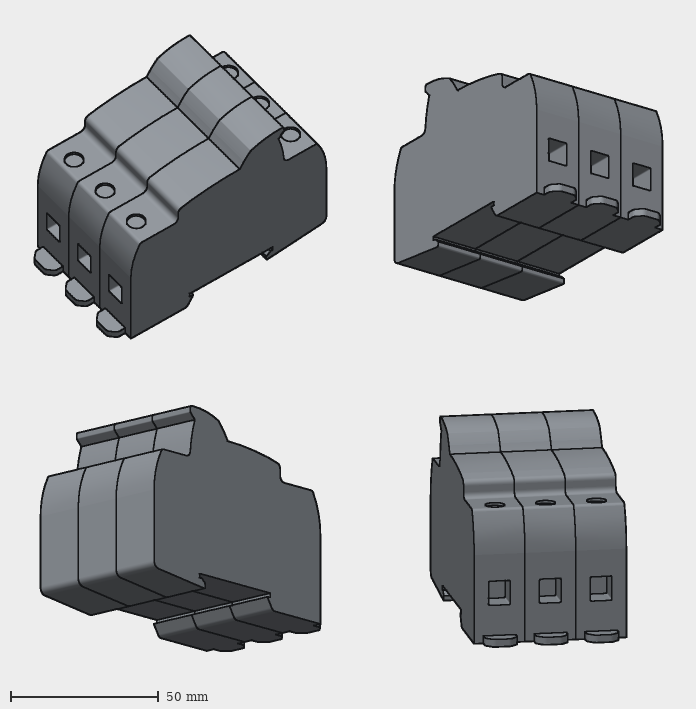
import cadquery as cq
import math

POLE_COUNT = 3
POLE_WIDTH = 17.5

BODY_DEPTH = 83.0
BODY_HEIGHT = 64.0
DECK_Z = 46.0
SHOULDER_Z = 31.0
SHOULDER_RADIUS = 30.0

STEP_Y = 20.1
STEP_TOP_Z = 51.9
CROWN_FRONT_Y = 26.1
CROWN_RADIUS = 110.0
TOGGLE_FOOT_Y = 46.2
TOGGLE_FOOT_Z = 55.1

TOGGLE_BEND_LOWER = (47.95, 57.8)
TOGGLE_BEND_UPPER = (48.5, 58.5)
TOGGLE_FACE_RADIUS = 39.95
CREST_FRONT_Y = 50.9
CREST_REAR_Y = 63.2
CREST_RADIUS = 30.0
LIP_Y = 65.0
LIP_BOTTOM_Z = 61.7
THROAT_Y = 62.7
THROAT_Z = LIP_BOTTOM_Z - (LIP_Y - THROAT_Y)
TOGGLE_REAR_Y = 65.1
TOGGLE_REAR_RADIUS = 50.0

REAR_HEEL_Z = 3.9
REAR_HOOK_Y = 57.45
REAR_HOOK_TIP_Z = 1.15
REAR_HOOK_TOP_Z = 3.0
REAR_HOOK_SHELF_Y = 59.2
SLOT_REAR_Y = 60.3
SLOT_FRONT_Y = 25.0
SLOT_TOP_Z = 5.95
HOOK_SHELF_Z = 4.5
FRONT_HOOK_Y = 26.55
FRONT_HOOK_Z = 4.35
FRONT_TOE_Y = 23.8

ROUND_RADIUS = 2.0
SMALL_RADIUS = 1.0
HEEL_RADIUS = 2.5
EDGE_RADIUS = 0.5
SHOULDER_EDGE_RADIUS = 1.5

SCREW_DIAMETER = 6.6
SCREW_DEPTH = 1.0
FRONT_SCREW_Y = 8.9
REAR_SCREW_Y = 74.4

POCKET_WIDTH = 7.5
POCKET_HEIGHT = 8.4
POCKET_CENTER_Z = 17.4
POCKET_DEPTH = 10.0
POCKET_CORNER_RADIUS = 0.5

TAB_WIDTH = 11.2
TAB_LENGTH = 5.8
TAB_HEIGHT = 2.7
TAB_CHAMFER = 2.6


def drop_from_tangent(radius, run):
    """Sideways departure of an arc from its tangent after a run along that tangent."""
    return radius - math.sqrt(radius ** 2 - run ** 2)


shoulder_inset = drop_from_tangent(SHOULDER_RADIUS, DECK_Z - SHOULDER_Z)
front_deck_edge = (shoulder_inset, DECK_Z)
rear_deck_edge = (BODY_DEPTH - shoulder_inset, DECK_Z)

front_step_foot = (STEP_Y, DECK_Z)
rear_step_foot = (TOGGLE_REAR_Y, DECK_Z)
crown_front_z = TOGGLE_FOOT_Z - drop_from_tangent(CROWN_RADIUS, TOGGLE_FOOT_Y - CROWN_FRONT_Y)
step_top = (STEP_Y, STEP_TOP_Z)

crest_front_z = BODY_HEIGHT - drop_from_tangent(CREST_RADIUS, CREST_REAR_Y - CREST_FRONT_Y)
crest_front = (CREST_FRONT_Y, crest_front_z)
lip_top = (LIP_Y, BODY_HEIGHT)
lip_bottom = (LIP_Y, LIP_BOTTOM_Z)

rear_heel = (BODY_DEPTH, REAR_HEEL_Z)
rear_hook_tip = (REAR_HOOK_Y, REAR_HOOK_TIP_Z)
front_toe = (FRONT_TOE_Y, 0)


def profile():
    """Closed side outline in Y and Z, running up the front and down the rear, corners sharp."""
    return (
        cq.Workplane("YZ")
        .moveTo(0, 0)
        .lineTo(0, SHOULDER_Z)
        .radiusArc(front_deck_edge, SHOULDER_RADIUS)
        .lineTo(*front_step_foot)
        .lineTo(*step_top)
        .lineTo(CROWN_FRONT_Y, crown_front_z)
        .radiusArc((TOGGLE_FOOT_Y, TOGGLE_FOOT_Z), CROWN_RADIUS)
        .radiusArc(TOGGLE_BEND_LOWER, -TOGGLE_FACE_RADIUS)
        .lineTo(*TOGGLE_BEND_UPPER)
        .radiusArc(crest_front, TOGGLE_FACE_RADIUS)
        .radiusArc((CREST_REAR_Y, BODY_HEIGHT), CREST_RADIUS)
        .lineTo(*lip_top)
        .lineTo(*lip_bottom)
        .lineTo(THROAT_Y, THROAT_Z)
        .radiusArc(rear_step_foot, TOGGLE_REAR_RADIUS)
        .lineTo(*rear_deck_edge)
        .radiusArc((BODY_DEPTH, SHOULDER_Z), SHOULDER_RADIUS)
        .lineTo(*rear_heel)
        .lineTo(*rear_hook_tip)
        .lineTo(REAR_HOOK_Y, REAR_HOOK_TOP_Z)
        .lineTo(REAR_HOOK_SHELF_Y, HOOK_SHELF_Z)
        .lineTo(SLOT_REAR_Y, HOOK_SHELF_Z)
        .lineTo(SLOT_REAR_Y, SLOT_TOP_Z)
        .lineTo(SLOT_FRONT_Y, SLOT_TOP_Z)
        .lineTo(SLOT_FRONT_Y, HOOK_SHELF_Z)
        .lineTo(FRONT_HOOK_Y, FRONT_HOOK_Z)
        .lineTo(*front_toe)
        .close()
    )


def round_corner(body, corner, radius):
    """Fillet the edge that runs along X through a (Y, Z) corner of the outline."""
    edge = cq.selectors.NearestToPointSelector((0, *corner))
    return body.edges("|X").edges(edge).fillet(radius)


def make_case():
    """Extruded case of one pole, centred on X = 0, with its outline corners rounded."""
    case = profile().extrude(POLE_WIDTH / 2, both=True)
    for corner, radius in [
        (front_deck_edge, SHOULDER_EDGE_RADIUS),
        (front_step_foot, ROUND_RADIUS),
        (step_top, ROUND_RADIUS),
        (crest_front, EDGE_RADIUS),
        (lip_top, SMALL_RADIUS),
        (lip_bottom, EDGE_RADIUS),
        (rear_step_foot, ROUND_RADIUS),
        (rear_deck_edge, SMALL_RADIUS),
        (rear_heel, HEEL_RADIUS),
        (rear_hook_tip, EDGE_RADIUS),
        (front_toe, ROUND_RADIUS),
    ]:
        case = round_corner(case, corner, radius)
    return case


def screw_holes():
    """Shallow round recesses, one in each deck."""
    return (
        cq.Workplane("XY", origin=(0, 0, DECK_Z))
        .pushPoints([(0, FRONT_SCREW_Y), (0, REAR_SCREW_Y)])
        .circle(SCREW_DIAMETER / 2)
        .extrude(-SCREW_DEPTH)
    )


def wire_pocket():
    """Rounded rectangular pocket running in from the front face."""
    return (
        cq.Workplane("XZ", origin=(0, 0, POCKET_CENTER_Z))
        .rect(POCKET_WIDTH, POCKET_HEIGHT)
        .extrude(-POCKET_DEPTH)
        .edges("|Y")
        .fillet(POCKET_CORNER_RADIUS)
    )


def release_tab():
    """Flat tab in front of the case, its two outer corners cut at 45 degrees and softened."""
    tab = (
        cq.Workplane("XY")
        .rect(TAB_WIDTH, 2 * TAB_LENGTH)
        .extrude(TAB_HEIGHT)
        .edges("|Z and <Y")
        .chamfer(TAB_CHAMFER)
    )
    softened_edges = cq.selectors.BoxSelector(
        (-TAB_WIDTH, -2 * TAB_LENGTH, -TAB_HEIGHT),
        (TAB_WIDTH, 0, 2 * TAB_HEIGHT),
    )
    return tab.edges("|Z").edges(softened_edges).fillet(ROUND_RADIUS)


def make_pole():
    """One complete breaker pole, centred on X = 0."""
    return make_case().union(release_tab()).cut(screw_holes()).cut(wire_pocket())


pole = make_pole()
poles = []
for index in range(POLE_COUNT):
    pole_x = (index - (POLE_COUNT - 1) / 2) * POLE_WIDTH
    poles.append(pole.translate((pole_x, 0, 0)).val())

result = cq.Compound.makeCompound(poles)